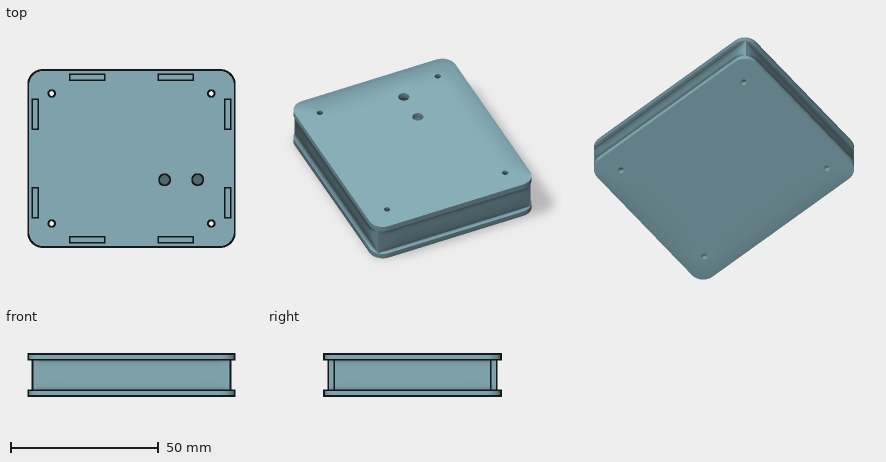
import cadquery as cq

CASE_LENGTH = 70.0
CASE_WIDTH = 60.0
CASE_HEIGHT = 14.3

SHEET = 2.0

PLATE_CORNER_RADIUS = 5.0
SCREW_HOLE_DIAMETER = 2.2
SCREW_HOLE_INSET = 8.0
PORT_DIAMETER = 3.8
PORT_CENTERS = [(11.2, -7.2), (22.4, -7.15)]

WALL_INSET = 1.5
TAB_OFFSET = 15.0
LONG_WALL_TAB_LENGTH = 12.0
END_WALL_TAB_LENGTH = 10.0

top_plate_z = CASE_HEIGHT - SHEET
wall_height = CASE_HEIGHT - 2 * SHEET
long_wall_length = CASE_LENGTH - 2 * WALL_INSET
end_wall_length = CASE_WIDTH - 2 * (WALL_INSET + SHEET)
long_wall_y = CASE_WIDTH / 2 - WALL_INSET - SHEET / 2
end_wall_x = CASE_LENGTH / 2 - WALL_INSET - SHEET / 2
screw_spacing_x = CASE_LENGTH - 2 * SCREW_HOLE_INSET
screw_spacing_y = CASE_WIDTH - 2 * SCREW_HOLE_INSET


def make_wall(length, tab_length):
    """Upright wall along X, centred on the origin, with two tabs that reach through both plates."""
    body = cq.Workplane("XY").workplane(offset=SHEET).rect(length, SHEET).extrude(wall_height)
    tabs = (
        cq.Workplane("XY")
        .pushPoints([(-TAB_OFFSET, 0), (TAB_OFFSET, 0)])
        .rect(tab_length, SHEET)
        .extrude(CASE_HEIGHT)
    )
    return body.union(tabs)


def make_long_wall(side):
    """Wall parallel to X; side is -1 for front and +1 for back."""
    return make_wall(long_wall_length, LONG_WALL_TAB_LENGTH).translate((0, side * long_wall_y, 0))


def make_end_wall(side):
    """Wall parallel to Y, fitted between the long walls; side is -1 for left and +1 for right."""
    wall = make_wall(end_wall_length, END_WALL_TAB_LENGTH).rotate((0, 0, 0), (0, 0, 1), 90)
    return wall.translate((side * end_wall_x, 0, 0))


def make_plate(bottom_z, walls):
    """Rounded plate with four screw holes and a slot for every wall tab."""
    base = cq.Workplane("XY").workplane(offset=bottom_z)
    plate = base.rect(CASE_LENGTH, CASE_WIDTH).extrude(SHEET).edges("|Z").fillet(PLATE_CORNER_RADIUS)
    screw_holes = (
        base.rect(screw_spacing_x, screw_spacing_y, forConstruction=True)
        .vertices()
        .circle(SCREW_HOLE_DIAMETER / 2)
        .extrude(SHEET)
    )
    plate = plate.cut(screw_holes)
    for wall in walls:
        plate = plate.cut(wall)
    return plate


def cut_ports(plate):
    """Two round openings through the top plate."""
    ports = (
        cq.Workplane("XY")
        .workplane(offset=top_plate_z)
        .pushPoints(PORT_CENTERS)
        .circle(PORT_DIAMETER / 2)
        .extrude(SHEET)
    )
    return plate.cut(ports)


long_walls = [make_long_wall(side) for side in (-1, 1)]
end_walls = [make_end_wall(side) for side in (-1, 1)]
walls = long_walls + end_walls
bottom_plate = make_plate(0, walls)
top_plate = cut_ports(make_plate(top_plate_z, walls))

result = cq.Compound.makeCompound(
    [body.solids().val() for body in (bottom_plate, top_plate, *walls)]
)